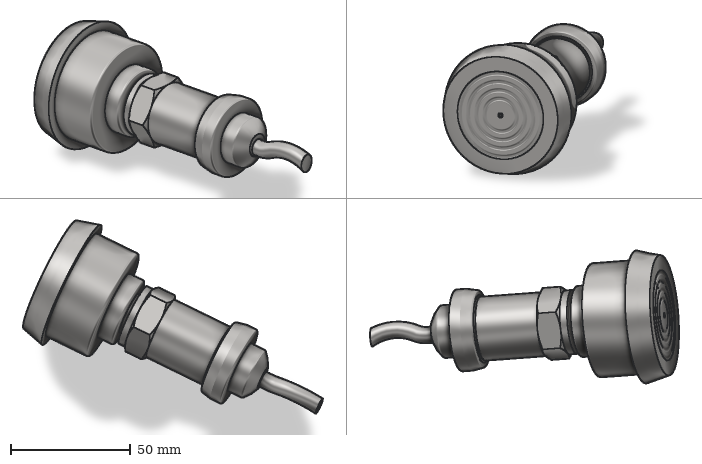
import cadquery as cq
import math


FLANGE_LENGTH = 10.0
FLANGE_RADIUS = 28.0
FLANGE_CONE_ANGLE = 15.0
FRONT_RADIUS = FLANGE_RADIUS - FLANGE_LENGTH * math.tan(math.radians(FLANGE_CONE_ANGLE))
BODY_RADIUS = 24.05
BODY_END = 29.85
HUB_RADIUS = 15.0
HUB_END = 37.0
CONNECTION_ROUND = 1.0

DIAPHRAGM_RADIUS = 19.0
DIAPHRAGM_THICKNESS = 1.0
GROOVE_COUNT = 4
GROOVE_WIDTH = 1.9
GROOVE_PITCH = 3.65
GROOVE_DEPTH = 0.3
GROOVE_EDGE_ROUND = 0.7
DIMPLE_RADIUS = 1.0
DIMPLE_FLOOR_RADIUS = 0.6
DIMPLE_DEPTH = 0.3

NECK_RADIUS = 9.0
NECK_FILLET = 0.9
HOUSING_RADIUS = 13.5
HOUSING_START = 38.8
HOUSING_END = 78.4
HEX_START = 41.9
HEX_LENGTH = 10.0
HEX_CORNER_RADIUS = HOUSING_RADIUS / math.cos(math.radians(30))
HEX_BEVEL_ANGLE = 30.0
SPIGOT_RADIUS = 25.13 / 2

COLLAR_START = 79.0
COLLAR_LENGTH = 10.0
COLLAR_CONE_LENGTH = 5.0
COLLAR_NOSE_RADIUS = 16.25
COLLAR_RADIUS = 17.3
COLLAR_ROUND = 0.8
COLLAR_MOUTH_RADIUS = 14.3
SPIGOT_END = COLLAR_START + COLLAR_CONE_LENGTH

GLAND_RADIUS = 22.3 / 2
GLAND_SHOULDER = 95.6
GLAND_END = 99.8
GLAND_TIP_RADIUS = 5.0
GLAND_ROUND = 0.9
DOME_BULGE = 0.4

CABLE_RADIUS = 7.0 / 2
CABLE_START = 97.0
CABLE_END = 126.4
DIP_X = 102.0
DIP_Z = -1.05
CREST_X = 116.6
CREST_Z = 2.35
BEND_ANGLE = 2 * math.atan2(CREST_Z - DIP_Z, CREST_X - DIP_X)
DIP_BEND_RADIUS = 12.2
CREST_BEND_RADIUS = (CREST_X - DIP_X) / math.sin(BEND_ANGLE) - DIP_BEND_RADIUS
END_ANGLE = math.radians(38)



def cylinder(start, end, radius):
    """Solid cylinder along X."""
    return cq.Workplane("YZ", origin=(start, 0, 0)).circle(radius).extrude(end - start)


def revolve_about_x(profile):
    """Full turn about X of a closed profile drawn as (axial, radial) points."""
    return profile.close().revolve(360, (0, 0, 0), (1, 0, 0))


def make_diaphragm():
    """Disc flush with the measuring face, with concentric rounded corrugations and a conical center dimple."""
    disc = cylinder(0, DIAPHRAGM_THICKNESS, DIAPHRAGM_RADIUS)
    for index in range(GROOVE_COUNT):
        outer = DIAPHRAGM_RADIUS - index * GROOVE_PITCH
        inner = outer - GROOVE_WIDTH
        middle = (outer + inner) / 2
        groove = cq.Workplane("XY").moveTo(0, inner).threePointArc((GROOVE_DEPTH, middle), (0, outer))
        disc = disc.cut(revolve_about_x(groove))
    disc = disc.faces("<X").edges().fillet(GROOVE_EDGE_ROUND)
    dimple = (
        cq.Workplane("XY")
        .moveTo(0, 0)
        .lineTo(0, DIMPLE_RADIUS)
        .lineTo(DIMPLE_DEPTH, DIMPLE_FLOOR_RADIUS)
        .lineTo(DIMPLE_DEPTH, 0)
    )
    return disc.cut(revolve_about_x(dimple))


def make_connection():
    """Conical flange, cylindrical body and hub, recessed for the diaphragm."""
    profile = (
        cq.Workplane("XY")
        .moveTo(0, 0)
        .lineTo(0, FRONT_RADIUS)
        .lineTo(FLANGE_LENGTH, FLANGE_RADIUS)
        .lineTo(FLANGE_LENGTH, BODY_RADIUS)
        .lineTo(BODY_END, BODY_RADIUS)
        .lineTo(BODY_END, 0)
    )
    body = revolve_about_x(profile).faces(">X").edges().fillet(CONNECTION_ROUND)
    hub = cylinder(BODY_END, HUB_END, HUB_RADIUS).faces(">X").edges().fillet(CONNECTION_ROUND)
    connection = body.union(hub)
    return connection.cut(cylinder(0, DIAPHRAGM_THICKNESS, DIAPHRAGM_RADIUS))


def make_hexagon():
    """Wrench hexagon with corners on the Y axis, bevelled at both ends down to the housing radius."""
    hexagon = cq.Workplane("YZ", origin=(HEX_START, 0, 0)).polygon(6, 2 * HEX_CORNER_RADIUS).extrude(HEX_LENGTH)
    bevel_length = (HEX_CORNER_RADIUS - HOUSING_RADIUS) * math.tan(math.radians(HEX_BEVEL_ANGLE))
    hex_end = HEX_START + HEX_LENGTH
    envelope = (
        cq.Workplane("XY")
        .moveTo(HEX_START, 0)
        .lineTo(HEX_START, HOUSING_RADIUS)
        .lineTo(HEX_START + bevel_length, HEX_CORNER_RADIUS)
        .lineTo(hex_end - bevel_length, HEX_CORNER_RADIUS)
        .lineTo(hex_end, HOUSING_RADIUS)
        .lineTo(hex_end, 0)
    )
    return hexagon.intersect(revolve_about_x(envelope))


def make_housing():
    """Filleted neck, tube with wrench hexagon, and rear spigot that enters the collar."""
    fillet_start = HOUSING_START - NECK_FILLET
    fillet_mid = NECK_FILLET * math.sin(math.radians(45))
    profile = (
        cq.Workplane("XY")
        .moveTo(HUB_END, 0)
        .lineTo(HUB_END, NECK_RADIUS)
        .lineTo(fillet_start, NECK_RADIUS)
        .threePointArc(
            (fillet_start + fillet_mid, NECK_RADIUS + NECK_FILLET - fillet_mid),
            (HOUSING_START, NECK_RADIUS + NECK_FILLET),
        )
        .lineTo(HOUSING_START, HOUSING_RADIUS)
        .lineTo(HOUSING_END, HOUSING_RADIUS)
        .lineTo(HOUSING_END, SPIGOT_RADIUS)
        .lineTo(SPIGOT_END, SPIGOT_RADIUS)
        .lineTo(SPIGOT_END, 0)
    )
    return revolve_about_x(profile).union(make_hexagon())


def make_collar():
    """Ring with a tapered nose and rounded rims and a 45 degree mouth, bored for the spigot and the gland."""
    collar_end = COLLAR_START + COLLAR_LENGTH
    profile = (
        cq.Workplane("XY")
        .moveTo(COLLAR_START, 0)
        .lineTo(COLLAR_START, COLLAR_NOSE_RADIUS)
        .lineTo(SPIGOT_END, COLLAR_RADIUS)
        .lineTo(collar_end, COLLAR_RADIUS)
        .lineTo(collar_end, 0)
    )
    collar = revolve_about_x(profile).faces("<X or >X").edges().fillet(COLLAR_ROUND)
    collar = collar.cut(cylinder(COLLAR_START, SPIGOT_END, SPIGOT_RADIUS))
    mouth_end = COLLAR_START + COLLAR_MOUTH_RADIUS - SPIGOT_RADIUS
    mouth = (
        cq.Workplane("XY")
        .moveTo(COLLAR_START, 0)
        .lineTo(COLLAR_START, COLLAR_MOUTH_RADIUS)
        .lineTo(mouth_end, SPIGOT_RADIUS)
        .lineTo(mouth_end, 0)
    )
    collar = collar.cut(revolve_about_x(mouth))
    return collar.cut(cylinder(SPIGOT_END, collar_end, GLAND_RADIUS))


def dip_point(angle):
    """Point (x, z) on the lower cable bend, at an angle past its lowest point."""
    return (
        DIP_X + DIP_BEND_RADIUS * math.sin(angle),
        DIP_Z + DIP_BEND_RADIUS * (1 - math.cos(angle)),
    )


def crest_point(angle):
    """Point (x, z) on the upper cable bend, at an angle past its highest point."""
    return (
        CREST_X + CREST_BEND_RADIUS * math.sin(angle),
        CREST_Z - CREST_BEND_RADIUS * (1 - math.cos(angle)),
    )


def make_cable():
    """Round cable along two tangent bends in the XZ plane, both ends trimmed square to X."""
    start_x, start_z = dip_point(-END_ANGLE)
    path = (
        cq.Workplane("XZ")
        .moveTo(start_x, start_z)
        .threePointArc(dip_point(0), dip_point(BEND_ANGLE))
        .threePointArc(crest_point(0), crest_point(END_ANGLE))
    )
    start_plane = cq.Plane(
        origin=(start_x, 0, start_z),
        xDir=(0, 1, 0),
        normal=(math.cos(END_ANGLE), 0, -math.sin(END_ANGLE)),
    )
    cable = cq.Workplane(start_plane).circle(CABLE_RADIUS).sweep(path)
    return cable.intersect(cylinder(CABLE_START, CABLE_END, COLLAR_RADIUS))


def make_gland(cable):
    """Cylinder with a domed end, with a socket that fits the cable."""
    dome_start = (GLAND_SHOULDER, GLAND_RADIUS)
    dome_tip = (GLAND_END, GLAND_TIP_RADIUS)
    chord = math.dist(dome_start, dome_tip)
    dome_mid = (
        (GLAND_SHOULDER + GLAND_END) / 2 + DOME_BULGE * (GLAND_RADIUS - GLAND_TIP_RADIUS) / chord,
        (GLAND_RADIUS + GLAND_TIP_RADIUS) / 2 + DOME_BULGE * (GLAND_END - GLAND_SHOULDER) / chord,
    )
    profile = (
        cq.Workplane("XY")
        .moveTo(SPIGOT_END, 0)
        .lineTo(SPIGOT_END, GLAND_RADIUS)
        .lineTo(*dome_start)
        .threePointArc(dome_mid, dome_tip)
        .lineTo(GLAND_END, 0)
    )
    gland = revolve_about_x(profile)
    shoulder = gland.faces("%CYLINDER").edges(">X")
    return shoulder.fillet(GLAND_ROUND).cut(cable)


diaphragm = make_diaphragm()
connection = make_connection()
housing = make_housing()
collar = make_collar()
cable = make_cable()
gland = make_gland(cable)

result = cq.Compound.makeCompound(
    [connection.val(), diaphragm.val(), housing.val(), collar.val(), gland.val(), cable.val()]
)